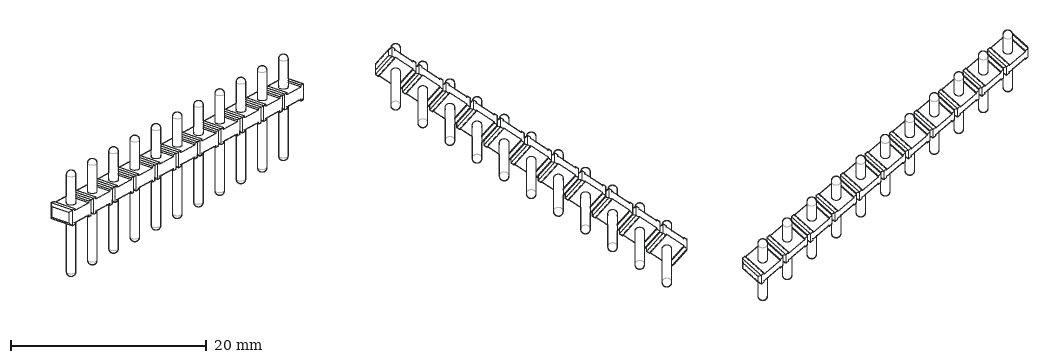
import cadquery as cq
import math

pin_count = 11
pitch = 3.5

body_width = 2.8
rib_height = 1.8
recess_depth = 0.2
rib_length = 0.6
bevel_length = 0.2
bevel_inset = 0.3
neck_width = body_width - 2 * bevel_inset
neck_height = rib_height - 2 * bevel_inset

pin_radius = 0.5
pin_above_body = 3.5
pin_below_body = 6.7

body_bottom = -rib_height / 2
body_top = rib_height / 2
pin_bottom = body_bottom - pin_below_body
pin_top = body_top + pin_above_body


def end_bevel(y_joint, direction):
    """Frustum growing from the joint face at y_joint to the full section along Y by direction."""
    joint_plane = cq.Plane(origin=(0, y_joint, 0), xDir=(1, 0, 0), normal=(0, direction, 0))
    return (
        cq.Workplane(joint_plane)
        .rect(neck_width, neck_height)
        .workplane(offset=bevel_length)
        .rect(body_width, rib_height)
        .loft(ruled=True)
    )


def body_segment(y_center):
    """One insulator segment: bevelled ends, ribs at both ends, recessed top and bottom."""
    block = cq.Workplane().box(body_width, pitch - 2 * bevel_length, rib_height)
    recess_length = pitch - 2 * rib_length
    recess = cq.Workplane().box(body_width, recess_length, recess_depth)
    recess_z = (rib_height - recess_depth) / 2
    block = block.cut(recess.translate((0, 0, recess_z)))
    block = block.cut(recess.translate((0, 0, -recess_z)))
    block = block.union(end_bevel(-pitch / 2, 1))
    block = block.union(end_bevel(pitch / 2, -1))
    return block.translate((0, y_center, 0))


def pin(y_center):
    """Round pin along Z with a hemisphere at each tip, revolved from a half profile."""
    arc_offset = pin_radius * math.sin(math.radians(45))
    lower_center = pin_bottom + pin_radius
    upper_center = pin_top - pin_radius
    return (
        cq.Workplane("YZ")
        .moveTo(0, pin_bottom)
        .threePointArc((-arc_offset, lower_center - arc_offset), (-pin_radius, lower_center))
        .lineTo(-pin_radius, upper_center)
        .threePointArc((-arc_offset, upper_center + arc_offset), (0, pin_top))
        .close()
        .revolve(360, (0, 0), (0, 1))
        .translate((0, y_center, 0))
    )


pin_positions = [(i - (pin_count - 1) / 2) * pitch for i in range(pin_count)]

result = body_segment(pin_positions[0])
for y in pin_positions[1:]:
    result = result.union(body_segment(y))
for y in pin_positions:
    result = result.union(pin(y))